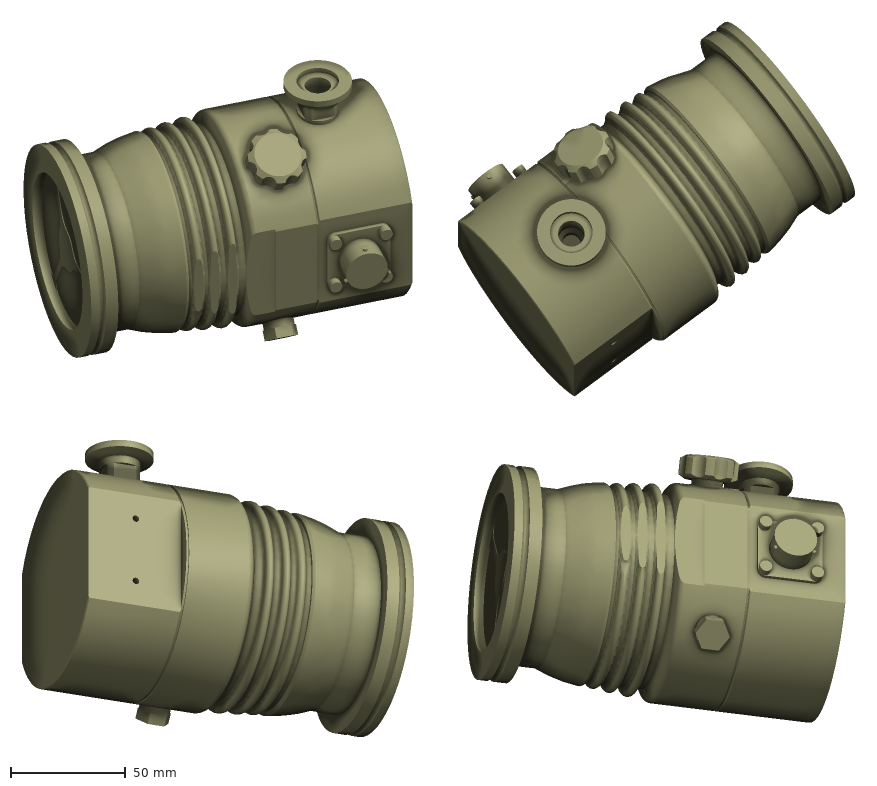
import cadquery as cq
import math


FLANGE_R = 47.5
FLANGE_THICKNESS = 12.4
FLANGE_GROOVE_Y = 5.3
FLANGE_GROOVE_R = 1.5
NECK_R = 39.5
NECK_END_Y = 24.8
BELL_MID_R = 43.0
BELL_END_R = 44.9
BELL_END_Y = 44.8
BELL_STEP_R = 44.3
ROOT_R = 42.85
ROOT_START_Y = 46.0
ROOT_END_Y = 72.6
SHOULDER_R = 46.6
SHOULDER_Y = 74.4
BODY_R = 48.5
HOUSING_START_Y = 77.1
JOINT_START_Y = 105.0
MOTOR_START_Y = 106.0
BODY_LENGTH = 149.0
EDGE_CHAMFER = 0.5
JOINT_GROOVE_R = 47.7

FINS = ((50.8, 45.3), (58.2, 46.2), (66.4, 47.0))
FIN_HALF_WIDTH = 1.8
FIN_ROOT_FILLET = 1.2

LEFT_FLAT_X = -40.5
RIGHT_FLAT_X = 43.0
BAND_FLAT_X = 43.5
BAND_START_Y = 85.9
BAND_END_Y = JOINT_START_Y
MOUNT_HOLE_D = 3.0
MOUNT_HOLE_DEPTH = 6.0
MOUNT_HOLE_Y = 126.9
MOUNT_HOLE_SPACING = 30.0

INLET_R = 35.0
INLET_DEPTH = 4.0
POCKET_DEPTH = 0.4
SPIDER_HUB_R = 10.3
SPOKE_WIDTH = 3.2
SPOKE_COUNT = 3
SPOKE_ROOT_FILLET = 10.4
SPOKE_END_FILLET = 4.0

PORT_Y = 119.6
PORT_TOP_Z = 65.0
PORT_FLANGE_R = 15.0
PORT_RIM_THICKNESS = 3.0
PORT_TAPER_HEIGHT = 1.7
PORT_HUB_R = 9.2
PORT_SEAT_R = 9.3
PORT_SEAT_DEPTH = 2.5
PORT_BORE_R = 5.8
PORT_BORE_DEPTH = 14.0
PORT_INNER_R = 4.05
PORT_TOTAL_DEPTH = 20.0
WRENCH_FLAT_WIDTH = 15.1
WRENCH_FLAT_BOTTOM_Z = 49.8
WRENCH_FLAT_TOP_Z = 56.8

FITTING_ROOT = 40.0
FITTING_Y = 91.1
FITTING_NECK_R = 6.9

KNOB_ANGLE = 30.0
KNOB_R = 13.0
KNOB_FACE_R = 10.3
KNOB_BOTTOM = 51.1
KNOB_TOP = 61.5
KNOB_BEVEL_HEIGHT = 1.6
KNOB_LOBES = 8
KNOB_TURN = 8.0
FLUTE_R = 4.0
FLUTE_CENTRE_R = 15.1
VENT_COLLAR_R = 8.0
VENT_COLLAR_TOP = 48.8
VENT_TAB_WIDTH = 2.8
VENT_TAB_TOP = 48.9
VENT_TAB_END_Y = 105.2

HEX_ANGLE = 140.0
HEX_SIDES = 6
HEX_CORNER_D = 15.4
HEX_BOTTOM = 51.4
HEX_TOP = 56.2

CONNECTOR_Y = 123.9
CONNECTOR_END_X = 56.0
CONNECTOR_R = 9.5
PLATE_SIDE = 28.8
PLATE_CORNER_R = 3.6
PLATE_THICKNESS = 1.8
SCREW_SPACING = 23.2
SCREW_HEAD_D = 5.5
SCREW_TOP_X = 48.4
WASHER_D = 5.3
WASHER_THICKNESS = 0.8
BAYONET_PIN_D = 2.0
BAYONET_PIN_X = 53.4
BAYONET_PIN_TIP_R = 10.7
BAYONET_PIN_COUNT = 3

PARALLEL_LIMIT = 0.99
CORNER_TOLERANCE = 0.1

ARC_MIDPOINT = math.sqrt(0.5)


def cylinder_z(radius, bottom, top):
    return cq.Workplane("XY").workplane(offset=bottom).circle(radius).extrude(top - bottom)


def cylinder_x(radius, start, end, y, z):
    plane = cq.Workplane("YZ").workplane(offset=start)
    return plane.center(y, z).circle(radius).extrude(end - start)


def cylinder_y(radius, start, end):
    return cq.Workplane("XZ").workplane(offset=-start).circle(radius).extrude(start - end)


def revolve_y(profile):
    return profile.close().revolve(360, (0, 0, 0), (0, 1, 0))


def revolve_z(points):
    return cq.Workplane("XZ").polyline(points).close().revolve(360, (0, 0, 0), (0, 1, 0))


def place_radially(shape, y, angle):
    """Move a shape built along +Z to station y and tip it from +Z toward +X."""
    return shape.translate((0, y, 0)).rotate((0, 0, 0), (0, 1, 0), angle)


def add_fin(profile, y, tip_r):
    """Continue the body profile over one round-topped fin with filleted roots."""
    base = FIN_HALF_WIDTH + FIN_ROOT_FILLET
    bend = FIN_ROOT_FILLET * ARC_MIDPOINT
    fillet_top_r = ROOT_R + FIN_ROOT_FILLET
    shoulder_r = max(tip_r - FIN_HALF_WIDTH, fillet_top_r)
    profile = profile.lineTo(ROOT_R, y - base)
    fillet_end = (fillet_top_r, y - FIN_HALF_WIDTH)
    profile = profile.threePointArc((fillet_top_r - bend, y - base + bend), fillet_end)
    has_sides = shoulder_r > fillet_top_r
    if has_sides:
        profile = profile.lineTo(shoulder_r, y - FIN_HALF_WIDTH)
    profile = profile.threePointArc((tip_r, y), (shoulder_r, y + FIN_HALF_WIDTH))
    if has_sides:
        profile = profile.lineTo(fillet_top_r, y + FIN_HALF_WIDTH)
    return profile.threePointArc((fillet_top_r - bend, y + base - bend), (ROOT_R, y + base))


def make_inlet_end():
    groove_start = FLANGE_GROOVE_Y - FLANGE_GROOVE_R
    groove_end = FLANGE_GROOVE_Y + FLANGE_GROOVE_R
    profile = cq.Workplane("XY").moveTo(0, 0).lineTo(FLANGE_R, 0).lineTo(FLANGE_R, groove_start)
    profile = profile.threePointArc((FLANGE_R - FLANGE_GROOVE_R, FLANGE_GROOVE_Y), (FLANGE_R, groove_end))
    profile = profile.lineTo(FLANGE_R, FLANGE_THICKNESS).lineTo(NECK_R, FLANGE_THICKNESS)
    profile = profile.lineTo(NECK_R, NECK_END_Y)
    bell_middle = (BELL_MID_R, (NECK_END_Y + BELL_END_Y) / 2)
    profile = profile.threePointArc(bell_middle, (BELL_END_R, BELL_END_Y))
    profile = profile.lineTo(BELL_STEP_R, ROOT_START_Y).lineTo(0, ROOT_START_Y)
    return revolve_y(profile)


def make_housing():
    profile = cq.Workplane("XY").moveTo(0, ROOT_START_Y).lineTo(ROOT_R, ROOT_START_Y)
    for fin_y, tip_r in FINS:
        profile = add_fin(profile, fin_y, tip_r)
    profile = profile.lineTo(ROOT_R, ROOT_END_Y).lineTo(SHOULDER_R, SHOULDER_Y)
    profile = profile.tangentArcPoint((BODY_R, HOUSING_START_Y), relative=False)
    profile = profile.lineTo(BODY_R, JOINT_START_Y).lineTo(JOINT_GROOVE_R, JOINT_START_Y)
    profile = profile.lineTo(JOINT_GROOVE_R, MOTOR_START_Y).lineTo(0, MOTOR_START_Y)
    housing = revolve_y(profile)
    housing = housing.cut(beyond_x(RIGHT_FLAT_X, ROOT_START_Y, BAND_START_Y))
    housing = housing.cut(beyond_x(BAND_FLAT_X, BAND_START_Y, BAND_END_Y))
    return housing.cut(beyond_x(RIGHT_FLAT_X, BAND_END_Y, MOTOR_START_Y))


def beyond_x(x, start_y, end_y):
    """Block holding everything on the outer side of a flat at x, between two stations."""
    outer_x = math.copysign(2 * BODY_R, x)
    block = cq.Workplane("XY").box(abs(outer_x - x), end_y - start_y, 2 * BODY_R)
    return block.translate(((x + outer_x) / 2, (start_y + end_y) / 2, 0))


def make_motor():
    motor = cylinder_y(BODY_R, MOTOR_START_Y, BODY_LENGTH).edges().chamfer(EDGE_CHAMFER)
    for flat_x in (LEFT_FLAT_X, RIGHT_FLAT_X):
        motor = motor.cut(beyond_x(flat_x, MOTOR_START_Y, BODY_LENGTH))
    for z in (-MOUNT_HOLE_SPACING / 2, MOUNT_HOLE_SPACING / 2):
        hole_end_x = LEFT_FLAT_X + MOUNT_HOLE_DEPTH
        motor = motor.cut(cylinder_x(MOUNT_HOLE_D / 2, LEFT_FLAT_X, hole_end_x, MOUNT_HOLE_Y, z))
    return motor


def round_corners(pocket, corner_r, fillet_r):
    """Fillet the corners of an inlet pocket that lie at one distance from the body axis."""
    corners = []
    for edge in pocket.Edges():
        middle = edge.Center()
        runs_along_y = edge.geomType() == "LINE" and abs(edge.tangentAt(0).y) > PARALLEL_LIMIT
        if runs_along_y and abs(math.hypot(middle.x, middle.z) - corner_r) < CORNER_TOLERANCE:
            corners.append(edge)
    return pocket.fillet(fillet_r, corners)


def make_inlet_recess():
    pocket_floor = INLET_DEPTH + POCKET_DEPTH
    pockets = cylinder_y(INLET_R, INLET_DEPTH, pocket_floor)
    pockets = pockets.cut(cylinder_y(SPIDER_HUB_R, INLET_DEPTH, pocket_floor))
    spoke = cq.Workplane("XY").box(INLET_R + SPOKE_WIDTH, POCKET_DEPTH, SPOKE_WIDTH)
    spoke = spoke.translate(((INLET_R + SPOKE_WIDTH) / 2, INLET_DEPTH + POCKET_DEPTH / 2, 0))
    for index in range(SPOKE_COUNT):
        pockets = pockets.cut(spoke.rotate((0, 0, 0), (0, 1, 0), index * 360 / SPOKE_COUNT))
    recess = cylinder_y(INLET_R, 0, INLET_DEPTH)
    for pocket in pockets.solids().vals():
        rounded = round_corners(pocket, SPIDER_HUB_R, SPOKE_ROOT_FILLET)
        recess = recess.union(round_corners(rounded, INLET_R, SPOKE_END_FILLET))
    return recess


def make_outlet_port():
    rim_bottom = PORT_TOP_Z - PORT_RIM_THICKNESS
    port = revolve_z([
        (0, FITTING_ROOT),
        (PORT_HUB_R, FITTING_ROOT),
        (PORT_HUB_R, rim_bottom - PORT_TAPER_HEIGHT),
        (PORT_FLANGE_R, rim_bottom),
        (PORT_FLANGE_R, PORT_TOP_Z),
        (0, PORT_TOP_Z),
    ])
    flat_height = WRENCH_FLAT_TOP_Z - WRENCH_FLAT_BOTTOM_Z
    ring = cq.Workplane("XY").workplane(offset=WRENCH_FLAT_BOTTOM_Z)
    ring = ring.rect(2 * PORT_FLANGE_R, 2 * PORT_FLANGE_R)
    ring = ring.rect(WRENCH_FLAT_WIDTH, WRENCH_FLAT_WIDTH).extrude(flat_height)
    return port.cut(ring).translate((0, PORT_Y, 0))


def make_outlet_bore():
    bore = revolve_z([
        (0, PORT_TOP_Z),
        (PORT_SEAT_R, PORT_TOP_Z),
        (PORT_SEAT_R, PORT_TOP_Z - PORT_SEAT_DEPTH),
        (PORT_BORE_R, PORT_TOP_Z - PORT_SEAT_DEPTH),
        (PORT_BORE_R, PORT_TOP_Z - PORT_BORE_DEPTH),
        (PORT_INNER_R, PORT_TOP_Z - PORT_BORE_DEPTH - (PORT_BORE_R - PORT_INNER_R)),
        (PORT_INNER_R, PORT_TOP_Z - PORT_TOTAL_DEPTH),
        (0, PORT_TOP_Z - PORT_TOTAL_DEPTH),
    ])
    return bore.translate((0, PORT_Y, 0))


def make_vent_knob():
    knob = revolve_z([
        (0, KNOB_BOTTOM),
        (KNOB_FACE_R, KNOB_BOTTOM),
        (KNOB_R, KNOB_BOTTOM + KNOB_BEVEL_HEIGHT),
        (KNOB_R, KNOB_TOP - KNOB_BEVEL_HEIGHT),
        (KNOB_FACE_R, KNOB_TOP),
        (0, KNOB_TOP),
    ])
    pitch = 360 / KNOB_LOBES
    flute = cylinder_z(FLUTE_R, KNOB_BOTTOM, KNOB_TOP).translate((FLUTE_CENTRE_R, 0, 0))
    for index in range(KNOB_LOBES):
        knob = knob.cut(flute.rotate((0, 0, 0), (0, 0, 1), (index + 0.5) * pitch - KNOB_TURN))
    knob = knob.union(cylinder_z(FITTING_NECK_R, FITTING_ROOT, KNOB_BOTTOM))
    knob = knob.union(cylinder_z(VENT_COLLAR_R, FITTING_ROOT, VENT_COLLAR_TOP))
    tab_length = VENT_TAB_END_Y - FITTING_Y
    tab_height = VENT_TAB_TOP - FITTING_ROOT
    tab = cq.Workplane("XY").box(VENT_TAB_WIDTH, tab_length, tab_height)
    knob = knob.union(tab.translate((0, tab_length / 2, FITTING_ROOT + tab_height / 2)))
    return place_radially(knob, FITTING_Y, KNOB_ANGLE)


def make_hex_fitting():
    fitting = cylinder_z(FITTING_NECK_R, FITTING_ROOT, HEX_BOTTOM)
    hexagon = cq.Workplane("XY").workplane(offset=HEX_BOTTOM).polygon(HEX_SIDES, HEX_CORNER_D)
    hexagon = hexagon.extrude(HEX_TOP - HEX_BOTTOM).rotate((0, 0, 0), (0, 0, 1), 90)
    return place_radially(fitting.union(hexagon), FITTING_Y, HEX_ANGLE)


def make_connector():
    plate = cq.Workplane("YZ").workplane(offset=RIGHT_FLAT_X).rect(PLATE_SIDE, PLATE_SIDE)
    plate = plate.extrude(PLATE_THICKNESS).edges("|X").fillet(PLATE_CORNER_R)
    connector = plate.union(cylinder_x(CONNECTOR_R, RIGHT_FLAT_X, CONNECTOR_END_X, 0, 0))
    half_spacing = SCREW_SPACING / 2
    plate_top_x = RIGHT_FLAT_X + PLATE_THICKNESS
    head_start_x = plate_top_x + WASHER_THICKNESS
    for y in (-half_spacing, half_spacing):
        for z in (-half_spacing, half_spacing):
            connector = connector.union(cylinder_x(WASHER_D / 2, plate_top_x, head_start_x, y, z))
            connector = connector.union(cylinder_x(SCREW_HEAD_D / 2, head_start_x, SCREW_TOP_X, y, z))
    pin = cylinder_z(BAYONET_PIN_D / 2, 0, BAYONET_PIN_TIP_R).translate((BAYONET_PIN_X, 0, 0))
    for index in range(BAYONET_PIN_COUNT):
        connector = connector.union(pin.rotate((0, 0, 0), (1, 0, 0), index * 360 / BAYONET_PIN_COUNT))
    return connector.translate((0, CONNECTOR_Y, 0))


body = make_inlet_end().union(make_housing()).union(make_motor())
for attachment in (make_outlet_port(), make_vent_knob(), make_hex_fitting(), make_connector()):
    body = body.union(attachment)
result = body.cut(make_inlet_recess()).cut(make_outlet_bore())